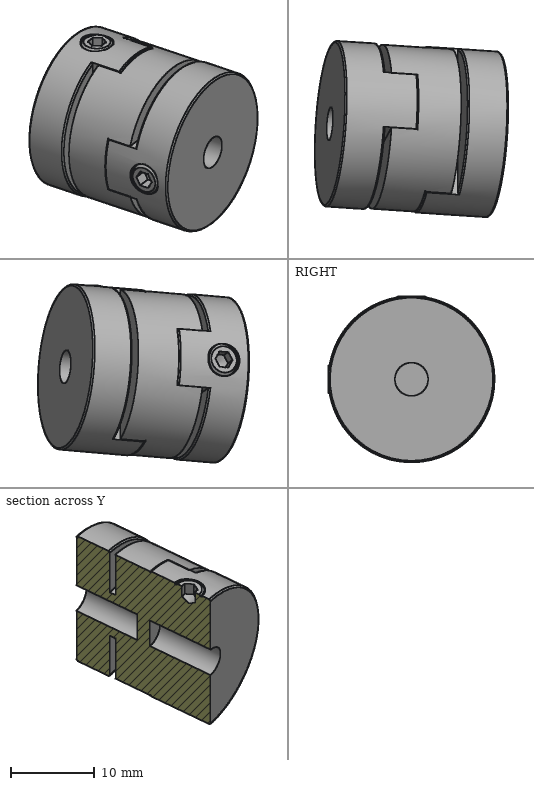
import cadquery as cq

length = 20.0
hub_diameter = 20.0
disc_diameter = 19.8
disc_length = 8.4
gap = 0.8
web = 2.0
tongue_width = 7.0
bore_diameter = 4.0
edge_chamfer = 0.2

screw_diameter = 4.0
screw_face_diameter = 3.25
screw_center = 6.7
recess_depth = 0.2
socket_corners = 2.2
socket_depth = 1.6
socket_tip_depth = 0.6

half_length = length / 2
hub_radius = hub_diameter / 2
hub_face = disc_length / 2 + gap
tongue_end = web / 2


def cylinder_x(diameter, start, end):
    return cq.Workplane("YZ", origin=(start, 0, 0)).circle(diameter / 2).extrude(end - start)


def set_screw():
    """Screw at the hub top with its axis on Z, down to the bore axis."""
    face_radius = screw_face_diameter / 2
    radius = screw_diameter / 2
    top = hub_radius
    chamfer_height = radius - face_radius
    return (
        cq.Workplane("XZ")
        .moveTo(0, 0)
        .lineTo(radius, 0)
        .lineTo(radius, top - chamfer_height)
        .lineTo(face_radius, top)
        .lineTo(0, top)
        .close()
        .revolve(360, (0, 0, 0), (0, 1, 0))
    )


def hex_socket():
    top = hub_radius
    hexagon = cq.Workplane("XY", origin=(0, 0, top)).polygon(6, socket_corners).extrude(-socket_depth)
    tip = cq.Solid.makeCone(
        socket_corners / 2, 0, socket_tip_depth, cq.Vector(0, 0, top - socket_depth), cq.Vector(0, 0, -1)
    )
    tip_limit = (
        cq.Workplane("XY", origin=(0, 0, top - socket_depth))
        .polygon(6, socket_corners)
        .extrude(-socket_tip_depth)
    )
    return hexagon.union(tip_limit.intersect(cq.Workplane(tip)))


def hub(socket_angle):
    """Hub at the -X end, tongue along Z, screw on +Z with its socket turned by socket_angle."""
    flange = cylinder_x(hub_diameter, -half_length, -hub_face).edges().chamfer(edge_chamfer)
    tongue_start = -half_length + edge_chamfer
    tongue_length = -tongue_end - tongue_start
    bar = cq.Workplane("XY").box(tongue_length, tongue_width, hub_diameter, centered=(False, True, True))
    bar = bar.translate((tongue_start, 0, 0))
    envelope = cylinder_x(hub_diameter, -half_length, -tongue_end).edges().chamfer(edge_chamfer)
    body = flange.union(bar.intersect(envelope))

    screw_place = (-screw_center, 0, 0)
    recess_floor = cylinder_x(hub_diameter - 2 * recess_depth, -half_length, 0)
    recess = cq.Workplane("XY").circle(screw_diameter / 2).extrude(hub_radius).translate(screw_place)
    body = body.cut(recess.cut(recess_floor))
    body = body.union(set_screw().translate(screw_place))
    socket = hex_socket().rotate((0, 0, 0), (0, 0, 1), socket_angle)
    body = body.cut(socket.translate(screw_place))
    return body.cut(cylinder_x(bore_diameter, -half_length, -tongue_end))


def disc():
    """Centre disc with a slot for each tongue, leaving a web between them."""
    body = cylinder_x(disc_diameter, -disc_length / 2, disc_length / 2)
    slot_depth = (disc_length - web) / 2
    slot_center = (disc_length + web) / 4
    slot_z = cq.Workplane("XY").box(slot_depth, tongue_width, hub_diameter)
    slot_y = cq.Workplane("XY").box(slot_depth, hub_diameter, tongue_width)
    return body.cut(slot_z.translate((-slot_center, 0, 0))).cut(slot_y.translate((slot_center, 0, 0)))


left_hub = hub(socket_angle=90)
right_hub = hub(socket_angle=0).rotate((0, 0, 0), (0, 0, 1), 180).rotate((0, 0, 0), (1, 0, 0), 90)
result = disc().union(left_hub).union(right_hub)